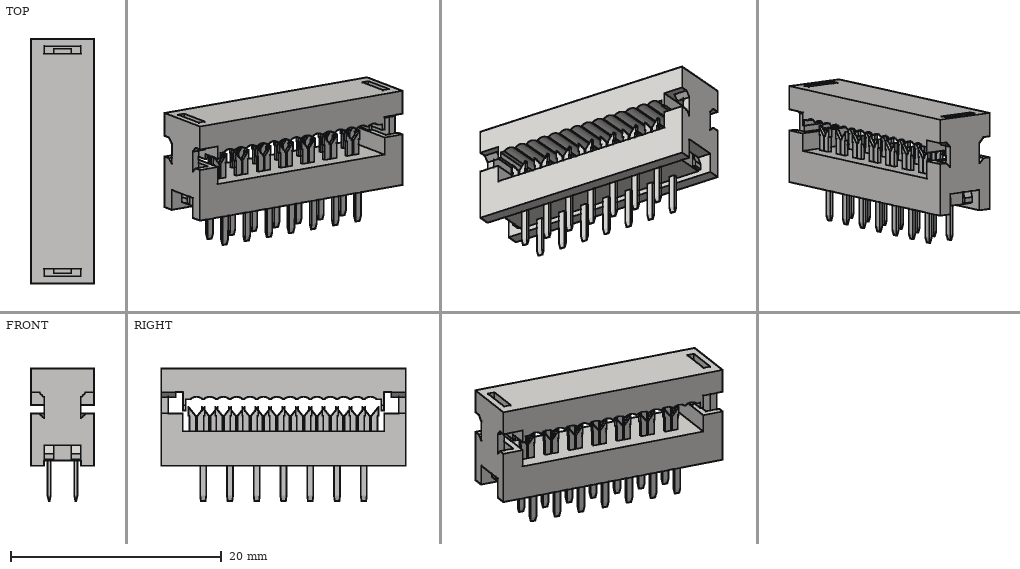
import cadquery as cq

WIDTH = 6.0
LENGTH = 23.23
BODY_TOP = 9.26
TOTAL_HEIGHT = 12.6
PIN_BOTTOM = BODY_TOP - TOTAL_HEIGHT
END_Y = LENGTH / 2

PIN_PITCH = 2.54
WIRE_PITCH = PIN_PITCH / 2
PINS_PER_ROW = 7
WIRE_COUNT = 2 * PINS_PER_ROW
ROW_X = PIN_PITCH / 2

BASE_TOP = 4.98
BASE_FLOOR = 3.3
BASE_FLOOR_HALF_LENGTH = 9.56
CHANNEL_DEPTH = 0.5
END_RECESS_TOP = 1.97
RAMP_BLOCK_GAP = 1.65
RAMP_BLOCK_FRONT = 1.11
RAMP_FOOT = 1.13
RAMP_BLOCK_BOTTOM = 0.62

COVER_END_BOTTOM = 7.0
COVER_BOTTOM = 6.32
END_WALL_BOTTOM = 5.76
END_WALL_THICKNESS = 0.3
KEY_WIDTH = 1.65
KEY_BOTTOM = 5.25
SCALLOP_RADIUS = 0.87
SCALLOP_DEPTH = 0.22

ARM_WIDTH = 3.5
ARM_THICKNESS = 0.7
LATCH_DEPTH = 2 * ARM_THICKNESS
ARM_CHAMFER = 0.5
MOUTH_DEPTH = 0.45
SLOT_FLOOR = 2.8
SLOT_NOTCH_REACH = 0.43
SLOT_NOTCH_DEPTH = 0.3

METAL_THICKNESS = 0.33
PIN_WIDTH = 0.6
PIN_TIP_LENGTH = 0.52
PIN_TIP_THICKNESS = 0.08
PIN_TIP_WIDTH = 0.46
FORK_HALF_WIDTH = 0.67
FORK_TIP_HALF_WIDTH = 0.76
FORK_TIP_Z = 5.6
FORK_THROAT_Z = 4.74
FORK_SLOT_WIDTH = 0.14
BLADE_BOTTOM = 2.8


def block(x_range, y_range, z_range):
    """Axis-aligned box given by its limits."""
    x0, x1 = x_range
    y0, y1 = y_range
    z0, z1 = z_range
    return cq.Workplane("XY").box(x1 - x0, y1 - y0, z1 - z0, centered=False).translate((x0, y0, z0))


def centered_block(width, y_range, z_range):
    """Box symmetric about X = 0."""
    return block((-width / 2, width / 2), y_range, z_range)


def extrude_along_y(points, y_range):
    """Prism with an XZ outline running over a Y range."""
    y0, y1 = y_range
    return cq.Workplane("XZ", origin=(0, y0, 0)).polyline(points).close().extrude(y0 - y1)


def both_ends(feature):
    """A feature of the -Y end together with its mirror image at the +Y end."""
    return feature.union(feature.mirror("XZ"))


def wire_y(index):
    """Y position of a wire, counted from the +Y end."""
    return ((WIRE_COUNT - 1) / 2 - index) * WIRE_PITCH


def make_base():
    base = centered_block(WIDTH, (-END_Y, END_Y), (0, BASE_TOP))
    floor_range = (-BASE_FLOOR_HALF_LENGTH, BASE_FLOOR_HALF_LENGTH)
    base = base.cut(centered_block(WIDTH, floor_range, (BASE_FLOOR, BASE_TOP)))
    return base.cut(centered_block(ARM_WIDTH, (-END_Y, END_Y), (0, CHANNEL_DEPTH)))


def make_cover():
    cover = centered_block(WIDTH, (-END_Y, END_Y), (COVER_END_BOTTOM, BODY_TOP))
    wall_outer = BASE_FLOOR_HALF_LENGTH
    clamp = centered_block(WIDTH, (-wall_outer, wall_outer), (COVER_BOTTOM, COVER_END_BOTTOM))
    wall_range = (-wall_outer, END_WALL_THICKNESS - wall_outer)
    end_wall = centered_block(WIDTH, wall_range, (END_WALL_BOTTOM, COVER_BOTTOM))
    key = centered_block(KEY_WIDTH, wall_range, (KEY_BOTTOM, END_WALL_BOTTOM))
    return cover.union(clamp).union(both_ends(end_wall)).union(both_ends(key))


def make_scallops():
    """Cylinders along X that seat the insulation of the ribbon cable wires."""
    axis_z = COVER_BOTTOM + SCALLOP_DEPTH - SCALLOP_RADIUS
    scallops = cq.Workplane("YZ")
    for index in range(WIRE_COUNT):
        plane = cq.Workplane("YZ", origin=(-WIDTH / 2, wire_y(index), axis_z))
        cylinder = plane.circle(SCALLOP_RADIUS).extrude(WIDTH)
        scallops = scallops.union(cylinder)
    keep_range = (COVER_BOTTOM, COVER_END_BOTTOM)
    return scallops.intersect(centered_block(WIDTH, (-END_Y, END_Y), keep_range))


def make_end_taper(top_z, depth):
    """Prism at the -Y end that narrows downward to the arm width."""
    top_half_width = ARM_WIDTH / 2 + ARM_CHAMFER
    bottom_half_width = ARM_WIDTH / 2
    outline = [
        (-top_half_width, top_z),
        (top_half_width, top_z),
        (bottom_half_width, top_z - depth),
        (-bottom_half_width, top_z - depth),
    ]
    return extrude_along_y(outline, (-END_Y, LATCH_DEPTH - END_Y))


def make_arms():
    """Flexible arms with sloped gussets below the cover."""
    arm_range = (-END_Y, ARM_THICKNESS - END_Y)
    arm = centered_block(ARM_WIDTH, arm_range, (END_RECESS_TOP, BODY_TOP))
    gusset = make_end_taper(COVER_END_BOTTOM, ARM_CHAMFER)
    return both_ends(arm.union(gusset))


def make_base_mouths():
    """Tapered openings in the base top around each arm."""
    return both_ends(make_end_taper(BASE_TOP, MOUTH_DEPTH))


def make_latch_slots():
    """Slots behind the arms, with a deeper notch in the middle of the floor."""
    inner_y = LATCH_DEPTH - END_Y
    slot = centered_block(ARM_WIDTH, (ARM_THICKNESS - END_Y, inner_y), (SLOT_FLOOR, BODY_TOP))
    notch_range = (inner_y - SLOT_NOTCH_REACH, inner_y)
    notch = centered_block(RAMP_BLOCK_GAP, notch_range, (SLOT_FLOOR - SLOT_NOTCH_DEPTH, SLOT_FLOOR))
    return both_ends(slot.union(notch))


def make_end_recesses():
    """Recesses under the arms, each leaving a pair of ramped blocks on its inner wall."""
    inner_y = LATCH_DEPTH - END_Y
    front_y = RAMP_BLOCK_FRONT - END_Y
    recess = centered_block(ARM_WIDTH, (-END_Y, inner_y), (0, END_RECESS_TOP))
    ramp_outline = [
        (inner_y, END_RECESS_TOP),
        (inner_y, RAMP_BLOCK_BOTTOM),
        (front_y, RAMP_BLOCK_BOTTOM),
        (front_y, RAMP_FOOT),
    ]
    plane = cq.Workplane("YZ", origin=(-ARM_WIDTH / 2, 0, 0))
    ramps = plane.polyline(ramp_outline).close().extrude(ARM_WIDTH)
    ramps = ramps.cut(centered_block(RAMP_BLOCK_GAP, (-END_Y, inner_y), (0, END_RECESS_TOP)))
    return both_ends(recess.cut(ramps))


def make_fork(row_x, center_y):
    """Slotted insulation-displacement blade gripping one wire."""
    outline = [
        (-FORK_HALF_WIDTH, BLADE_BOTTOM),
        (-FORK_HALF_WIDTH, FORK_THROAT_Z),
        (-FORK_TIP_HALF_WIDTH, FORK_THROAT_Z),
        (-FORK_TIP_HALF_WIDTH, FORK_TIP_Z),
        (-FORK_SLOT_WIDTH / 2, FORK_THROAT_Z),
        (-FORK_SLOT_WIDTH / 2, BLADE_BOTTOM),
    ]
    plane = cq.Workplane("YZ", origin=(row_x - METAL_THICKNESS / 2, center_y, 0))
    tine = plane.polyline(outline).close().extrude(METAL_THICKNESS)
    other_tine = tine.mirror("XZ", (0, center_y, 0))
    return tine.union(other_tine)


def make_pin(row_x, center_y):
    """Straight solder pin with a tapered tip."""
    shoulder_z = PIN_BOTTOM + PIN_TIP_LENGTH
    x_range = (row_x - METAL_THICKNESS / 2, row_x + METAL_THICKNESS / 2)
    y_range = (center_y - PIN_WIDTH / 2, center_y + PIN_WIDTH / 2)
    shank = block(x_range, y_range, (shoulder_z, BLADE_BOTTOM))
    tip = (
        cq.Workplane("XY", origin=(row_x, center_y, shoulder_z))
        .rect(METAL_THICKNESS, PIN_WIDTH)
        .workplane(offset=-PIN_TIP_LENGTH)
        .rect(PIN_TIP_THICKNESS, PIN_TIP_WIDTH)
        .loft()
    )
    return shank.union(tip)


body = make_base().union(make_cover().cut(make_scallops())).cut(make_base_mouths())
body = body.union(make_arms()).cut(make_latch_slots()).cut(make_end_recesses())

for wire in range(WIRE_COUNT):
    contact_x = -ROW_X if wire % 2 == 0 else ROW_X
    pin_y = ((PINS_PER_ROW - 1) / 2 - wire // 2) * PIN_PITCH
    body = body.union(make_fork(contact_x, wire_y(wire)))
    body = body.union(make_pin(contact_x, pin_y))

result = body